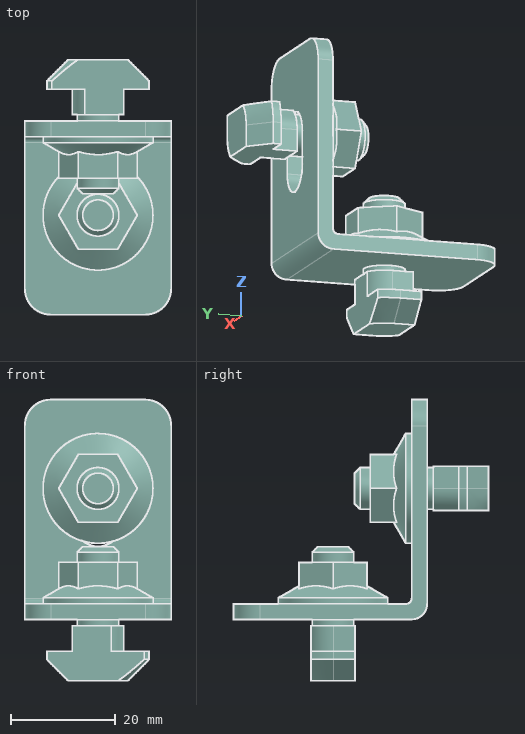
import cadquery as cq
import math

plate_width = 28.0
plate_thickness = 3.0
wall_height = 42.0
floor_length = 37.0
corner_radius = 5.0
bend_inner_radius = 1.0
bend_outer_radius = plate_thickness

floor_bolt_offset = 18.0
wall_bolt_height = 25.0

slot_width = 9.0
slot_bottom_height = 13.95

shank_diameter = 8.0
shank_height = 10.9
shank_chamfer = 1.1

flange_diameter = 21.0
flange_rim_height = 1.15
flange_slope = math.radians(30)
nut_height = 7.9
hex_across_flats = 13.0

neck_depth = 1.2
shoulder_depth = 6.0
taper_depth = 7.6
head_depth = 11.7
neck_width = 9.9
head_width = 19.55
head_thickness = 8.5
tip_width = head_width - 2 * (head_depth - taper_depth)


def make_bracket():
    profile = (
        cq.Workplane("YZ")
        .polyline([
            (0, 0),
            (-floor_length, 0),
            (-floor_length, plate_thickness),
            (-plate_thickness, plate_thickness),
            (-plate_thickness, wall_height),
            (0, wall_height),
        ])
        .close()
    )
    bracket = profile.extrude(plate_width / 2, both=True)
    inner_bend = cq.selectors.NearestToPointSelector((0, -plate_thickness, plate_thickness))
    bracket = bracket.edges(inner_bend).fillet(bend_inner_radius)
    outer_bend = cq.selectors.NearestToPointSelector((0, 0, 0))
    bracket = bracket.edges(outer_bend).fillet(bend_outer_radius)
    bracket = bracket.faces(">Z").edges("|Y").fillet(corner_radius)
    return bracket.faces("<Y").edges("|Z").fillet(corner_radius)


def make_wall_slot():
    slot_length = wall_bolt_height + slot_width / 2 - slot_bottom_height
    slot_center_height = slot_bottom_height + slot_length / 2
    return (
        cq.Workplane("XZ")
        .center(0, slot_center_height)
        .slot2D(slot_length, slot_width, angle=90)
        .extrude(plate_thickness)
    )


def make_shank():
    bottom = -plate_thickness - shoulder_depth
    shank = cq.Workplane("XY", origin=(0, 0, bottom)).circle(shank_diameter / 2).extrude(shank_height - bottom)
    return shank.faces(">Z").chamfer(shank_chamfer)


def make_nut():
    hex_across_corners = hex_across_flats / math.cos(math.radians(30))
    hexagon = cq.Workplane("XY").polygon(6, hex_across_corners).extrude(nut_height)
    flange_radius = flange_diameter / 2
    cone_top_radius = shank_diameter / 2
    cone_top = flange_rim_height + (flange_radius - cone_top_radius) * math.tan(flange_slope)
    flange = (
        cq.Workplane("XZ")
        .polyline([
            (0, 0),
            (flange_radius, 0),
            (flange_radius, flange_rim_height),
            (cone_top_radius, cone_top),
            (0, cone_top),
        ])
        .close()
        .revolve(360, (0, 0), (0, 1))
    )
    return hexagon.union(flange)


def make_head():
    """T-shaped head, rounded about the bolt axis at two opposite corners so it can turn in a slot."""
    half_outline = [
        (0, -neck_depth),
        (neck_width / 2, -neck_depth),
        (neck_width / 2, -shoulder_depth),
        (head_width / 2, -shoulder_depth),
        (head_width / 2, -taper_depth),
        (tip_width / 2, -head_depth),
        (0, -head_depth),
    ]
    half_thickness = head_thickness / 2
    turned = cq.Workplane("XZ").polyline(half_outline).close().revolve(360, (0, 0), (0, 1))
    slab = cq.Workplane("XY").box(head_width, head_thickness, head_depth, centered=(True, True, False))
    rounded = turned.intersect(slab.translate((0, 0, -head_depth)))

    square_quarter = cq.Workplane("XZ").polyline(half_outline).close().extrude(-half_thickness)
    opposite_quarter = square_quarter.rotate((0, 0, 0), (0, 0, 1), 180)
    head = rounded.union(square_quarter).union(opposite_quarter)
    return head.translate((0, 0, -plate_thickness))


def make_bolt():
    """Bolt and nut with the nut seat at the origin and the threaded end pointing up."""
    return make_shank().union(make_nut()).union(make_head())


bolt = make_bolt()
floor_bolt = bolt.translate((0, -floor_bolt_offset, plate_thickness))
wall_bolt = bolt.rotate((0, 0, 0), (1, 0, 0), 90).translate((0, -plate_thickness, wall_bolt_height))

result = make_bracket().cut(make_wall_slot()).union(floor_bolt).union(wall_bolt)